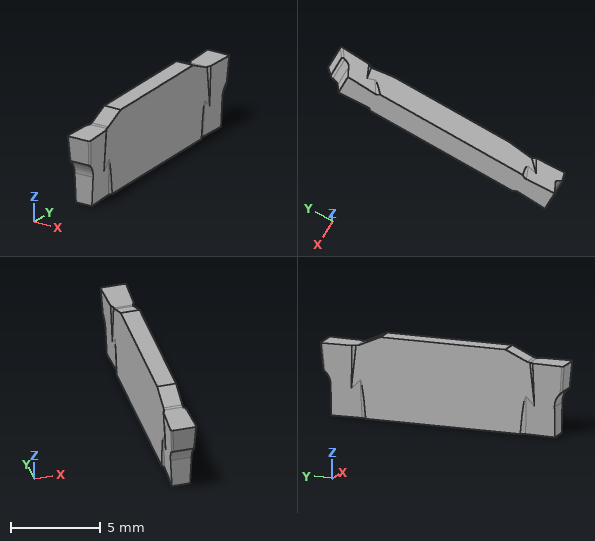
import cadquery as cq
import math

length = 14.59
height = 4.81
tip_width = 1.5
body_width = 1.11

head_height = 4.2
crest_half_length = 3.75
ramp_foot_y = 5.1
ramp_foot_radius = 0.41
edge_bottom_z = 2.67
edge_relief = 0.13
shank_y = 6.71
undercut_radius = 1.02
undercut_angle = math.radians(45)

flank_slope = 0.047
tip_corner_radius = 0.1

neck_top_y = 5.43
neck_bottom_y = 5.53
neck_run_per_width = 1.9

shoulder_bottom_y = 4.9
shoulder_apex_y = 4.98
shoulder_radius = 0.4
clearance = 0.29

half_length = length / 2
tip_half_width = tip_width / 2
body_half_width = body_width / 2
widest_y = half_length - tip_corner_radius


def flank_x(y, z):
    """Half width of the head on its tapered side plane."""
    return tip_half_width - flank_slope * (widest_y - y + head_height - z)


shoulder_apex_z = (
    head_height - (tip_half_width - body_half_width) / flank_slope + widest_y - shoulder_apex_y
)


def side_profile(width):
    """Complete side outline, extruded symmetrically across X."""
    edge_bottom_y = half_length - edge_relief
    arc_run = undercut_radius * (1 - math.cos(undercut_angle))
    arc_rise = undercut_radius * math.sin(undercut_angle)
    arc_top_y = shank_y + arc_run
    arc_top_z = edge_bottom_z - (edge_bottom_y - arc_top_y) * math.tan(undercut_angle)
    arc_bottom_z = arc_top_z - arc_rise
    half_angle = undercut_angle / 2
    arc_mid = (
        shank_y + undercut_radius * (1 - math.cos(half_angle)),
        arc_bottom_z + undercut_radius * math.sin(half_angle),
    )
    half = (
        cq.Workplane("YZ")
        .moveTo(0, 0)
        .lineTo(shank_y, 0)
        .lineTo(shank_y, arc_bottom_z)
        .threePointArc(arc_mid, (arc_top_y, arc_top_z))
        .lineTo(edge_bottom_y, edge_bottom_z)
        .lineTo(half_length, head_height)
        .lineTo(ramp_foot_y, head_height)
        .lineTo(crest_half_length, height)
        .lineTo(0, height)
        .close()
        .extrude(width / 2, both=True)
    )
    foot = cq.selectors.NearestToPointSelector((0, ramp_foot_y, head_height))
    half = half.edges("|X").edges(foot).fillet(ramp_foot_radius)
    return half.union(half.mirror("XZ")).clean()


def head_section(neck_y, z):
    """Level outline of the head, its neck slopes meeting on the centre plane."""
    tip_y = half_length + clearance
    tip_x = flank_x(tip_y, z)
    neck_x = flank_x(neck_y, z)
    inner_y = neck_y - neck_run_per_width * neck_x
    return [(tip_x, tip_y), (neck_x, neck_y), (0, inner_y), (-neck_x, neck_y), (-tip_x, tip_y)]


def make_head():
    head = (
        cq.Workplane("XY")
        .polyline(head_section(neck_bottom_y, 0))
        .close()
        .workplane(offset=head_height)
        .polyline(head_section(neck_top_y, head_height))
        .close()
        .loft(ruled=True)
    )
    head = head.intersect(side_profile(tip_width + clearance))
    edge_mid_y = half_length - edge_relief / 2
    edge_mid_z = (head_height + edge_bottom_z) / 2
    for side in (-1, 1):
        corner = (side * flank_x(edge_mid_y, edge_mid_z), edge_mid_y, edge_mid_z)
        head = head.edges(cq.selectors.NearestToPointSelector(corner)).fillet(tip_corner_radius)
    return head


def recess_outline(plane, shoulder_y, z):
    """Level outline of the material outside the lower flank, with a hollow round shoulder."""
    tip_y = half_length + clearance
    shoulder_x = flank_x(shoulder_y, z)
    outer_x = shoulder_x + shoulder_radius
    arc_offset = shoulder_radius * math.sin(math.radians(45))
    return (
        plane.moveTo(flank_x(tip_y, z), tip_y)
        .lineTo(shoulder_x, shoulder_y)
        .threePointArc(
            (outer_x - arc_offset, shoulder_y - arc_offset),
            (outer_x, shoulder_y - shoulder_radius),
        )
        .lineTo(outer_x, tip_y)
        .close()
    )


def make_recess():
    outline = recess_outline(cq.Workplane("XY"), shoulder_bottom_y, 0)
    top_plane = outline.workplane(offset=shoulder_apex_z, origin=(0, 0, 0))
    return recess_outline(top_plane, shoulder_apex_y, shoulder_apex_z).loft(ruled=True)


body_limit = cq.Workplane("XY").box(body_width, 2 * shank_y, height, centered=(True, True, False))
body = side_profile(body_width).intersect(body_limit)

head = make_head()
recess = make_recess()
recesses = recess.union(recess.mirror("YZ"))

result = body.union(head).union(head.mirror("XZ"))
result = result.cut(recesses).cut(recesses.mirror("XZ"))